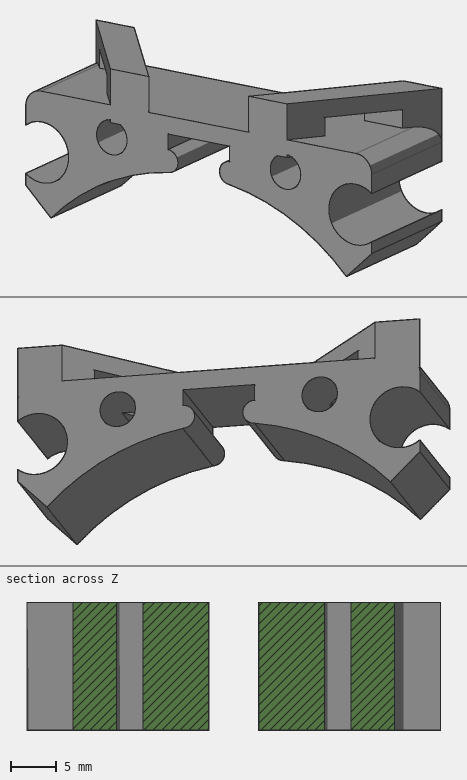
import cadquery as cq
import math

width = 45.25
depth = 14.0
total_height = 18.45
deck_height = 14.35
half_width = width / 2
edge_radius = 2.05

foot_x = 19.3
arch_center_drop = 18.75
arch_radius = math.hypot(foot_x, arch_center_drop)
foot_chamfer_height = 3.2

recess_half_width = 4.03
recess_roof = 12.3
lip_radius = 1.3
lip_height = math.sqrt((arch_radius + lip_radius) ** 2 - recess_half_width ** 2) - arch_center_drop
recess_bottom_margin = 2.25

bore_diameter = 4.0
bore_x = 11.35
bore_height = 10.65
groove_radius = 3.5
groove_x = 20.5
groove_height = 7.35

strap_width = 5.0
strap_front_x = 11.55
strap_base = deck_height - edge_radius
window_front = 3.45
window_length = 7.0
window_top = 16.45


def rods(x, z, radius):
    """Mirrored pair of full-depth cylinders along Y."""
    return (
        cq.Workplane("XZ")
        .pushPoints([(-x, z), (x, z)])
        .circle(radius)
        .extrude(-depth)
    )


def make_body():
    outline = [
        (-half_width, foot_chamfer_height),
        (-foot_x, 0),
        (foot_x, 0),
        (half_width, foot_chamfer_height),
        (half_width, deck_height),
        (-half_width, deck_height),
    ]
    body = cq.Workplane("XZ").polyline(outline).close().extrude(-depth)
    body = body.edges("|Y and >Z").fillet(edge_radius)
    arch = cq.Workplane("XZ").center(0, -arch_center_drop).circle(arch_radius).extrude(-depth)
    recess_bottom = lip_height - recess_bottom_margin
    recess = cq.Workplane("XY").box(
        2 * recess_half_width, depth, recess_roof - recess_bottom, centered=(True, False, False)
    ).translate((0, 0, recess_bottom))
    body = body.cut(arch).cut(recess)
    body = body.union(rods(recess_half_width, lip_height, lip_radius))
    body = body.cut(rods(bore_x, bore_height, bore_diameter / 2))
    return body.cut(rods(groove_x, groove_height, groove_radius))


def make_strap(side):
    """Strap running from a rear corner inward to the front face; side is -1 or 1."""
    footprint = [
        (side * half_width, depth),
        (side * (half_width - strap_width), depth),
        (side * (strap_front_x - strap_width), 0),
        (side * strap_front_x, 0),
    ]
    return (
        cq.Workplane("XY", origin=(0, 0, strap_base))
        .polyline(footprint)
        .close()
        .extrude(total_height - strap_base)
    )


def make_window():
    """Opening through both straps along X, resting on the deck."""
    return cq.Workplane("XY", origin=(0, window_front, deck_height)).box(
        width, window_length, window_top - deck_height, centered=(True, False, False)
    )


result = make_body()
for side in (-1, 1):
    result = result.union(make_strap(side))
result = result.cut(make_window())